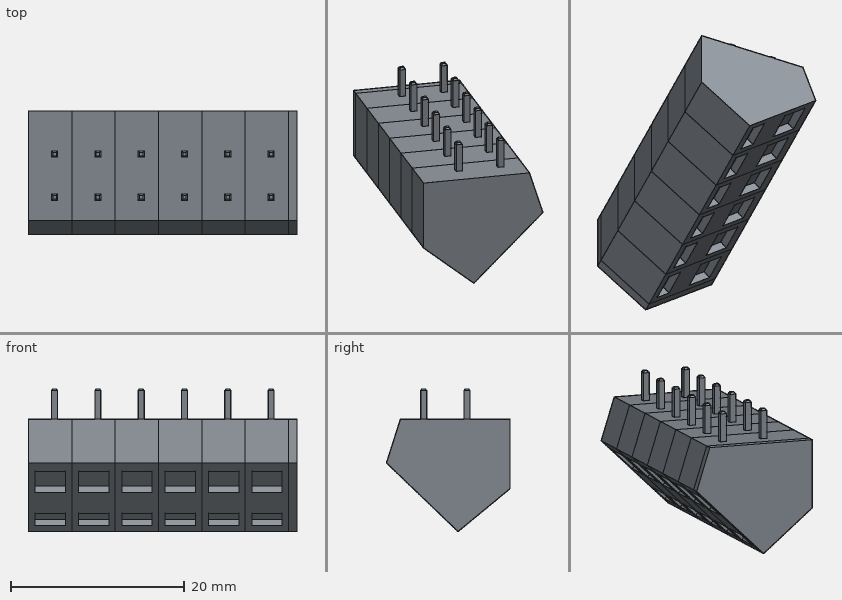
import cadquery as cq
import math

TOTAL_LENGTH = 31.0
END_PLATE_THICKNESS = 1.0
MODULE_COUNT = 6
PITCH = (TOTAL_LENGTH - END_PLATE_THICKNESS) / MODULE_COUNT

DEPTH = 14.3
TOTAL_HEIGHT = 16.5
PIN_HEIGHT = 3.5
BODY_HEIGHT = TOTAL_HEIGHT - PIN_HEIGHT
TOP_DEPTH = 12.68
NOSE_DROP = 5.05
BACK_HEIGHT = 8.03
KEEL_OFFSET = 6.0

PIN_WIDTH = 0.7
PIN_TIP_HEIGHT = 0.22
PIN_TIP_INSET = 0.15
PIN_X = 3.0
PIN_ROWS = 2
PIN_ROW_SPACING = 5.0
BACK_PIN_OFFSET = 5.0

POCKET_WIDTH = 3.5
POCKET_MARGIN = 0.78
POCKET_DEPTH = 1.0
UPPER_POCKET_START = 1.4
UPPER_POCKET_LENGTH = 3.5
LOWER_POCKET_START = 8.43
LOWER_POCKET_LENGTH = 2.05

NOSE = (-DEPTH, -NOSE_DROP)
KEEL = (-KEEL_OFFSET, -BODY_HEIGHT)


def profile_prism(x_start, length):
    """Five-sided housing section extruded along X."""
    outline = [(0, 0), (-TOP_DEPTH, 0), NOSE, KEEL, (0, -BACK_HEIGHT)]
    return cq.Workplane("YZ", origin=(x_start, 0, 0)).polyline(outline).close().extrude(length)


def pocket_cutter(x_start, start, length):
    """Box sunk square into the sloping face, starting at a distance from the nose edge."""
    face_dy = KEEL[0] - NOSE[0]
    face_dz = KEEL[1] - NOSE[1]
    face_length = math.hypot(face_dy, face_dz)
    along = (face_dy / face_length, face_dz / face_length)
    inward = (-along[1], along[0])

    def point(distance, depth):
        return (
            NOSE[0] + distance * along[0] + depth * inward[0],
            NOSE[1] + distance * along[1] + depth * inward[1],
        )

    end = start + length
    corners = [point(start, 0), point(end, 0), point(end, POCKET_DEPTH), point(start, POCKET_DEPTH)]
    return (
        cq.Workplane("YZ", origin=(x_start + POCKET_MARGIN, 0, 0))
        .polyline(corners)
        .close()
        .extrude(POCKET_WIDTH)
    )


def solder_pin(x, y):
    """Square pin standing on the top face, with a chamfered tip."""
    return (
        cq.Workplane("XY", origin=(x, y, 0))
        .rect(PIN_WIDTH, PIN_WIDTH)
        .extrude(PIN_HEIGHT)
        .faces(">Z")
        .chamfer(PIN_TIP_HEIGHT, PIN_TIP_INSET)
    )


def terminal_module(x_start):
    """One pole: housing slice with two front pockets and two pins."""
    module = profile_prism(x_start, PITCH)
    module = module.cut(pocket_cutter(x_start, UPPER_POCKET_START, UPPER_POCKET_LENGTH))
    module = module.cut(pocket_cutter(x_start, LOWER_POCKET_START, LOWER_POCKET_LENGTH))
    for row in range(PIN_ROWS):
        module = module.union(solder_pin(x_start + PIN_X, -BACK_PIN_OFFSET - row * PIN_ROW_SPACING))
    return module


modules = [terminal_module(index * PITCH) for index in range(MODULE_COUNT)]
end_plate = profile_prism(MODULE_COUNT * PITCH, END_PLATE_THICKNESS)

result = cq.Compound.makeCompound([*(module.val() for module in modules), end_plate.val()])